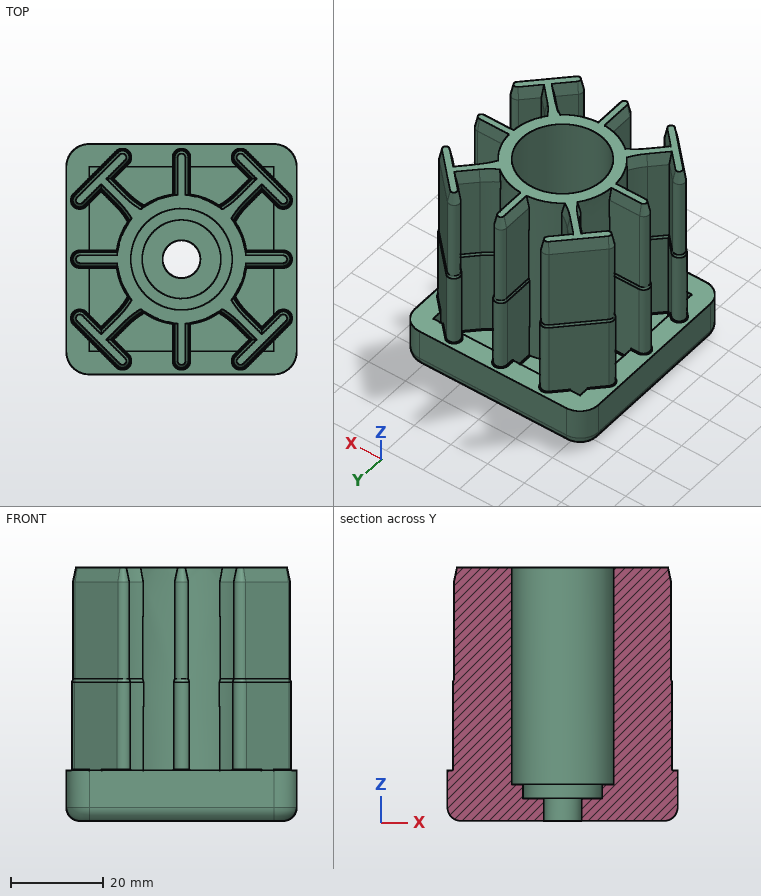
import cadquery as cq
import math

HEIGHT = 55
PLATE_SIDE = 50.0
PLATE_THICKNESS = 11
PLATE_CORNER_RADIUS = 5.0
PLATE_BOTTOM_FILLET = 3.0

POCKET_SIDE = 40.0
POCKET_DEPTH = 3.0
POCKET_FLOOR = PLATE_THICKNESS - POCKET_DEPTH

TUBE_TOP_RADIUS = 13.95
TUBE_FOOT_RADIUS = 14.2
BORE_RADIUS = 11
STEP_RADIUS = 8.5
STEP_FLOOR = 4.95
THROUGH_RADIUS = 4.05

FIN_THICKNESS = 3.4
FIN_REACH = 23.75
FIN_ROOT = 13.2
SHOULDER_START = 30.15
SHOULDER_END = 30.8
SHOULDER_INSET = 0.2
TIP_START = 51.85
TIP_INSET = 0.9
FOOT_FLARE = 0.2

BAR_DISTANCE = 24.65
WEB_ROOT = 12.1
WEB_FLARE_START = 18.3
WEB_FLARE_RADIUS = 17.05

fin_radius = FIN_THICKNESS / 2
cap_reach = FIN_REACH - fin_radius
bar_half_span = math.sqrt(2) * cap_reach - BAR_DISTANCE


def straight_fin(growth):
    """Round-ended outline reaching out along +X, grown by `growth` on every side."""
    span = cap_reach - FIN_ROOT
    width = FIN_THICKNESS + 2 * growth
    return cq.Workplane().center((cap_reach + FIN_ROOT) / 2, 0).slot2D(span + width, width)


def crossbar(growth):
    """Round-ended outline lying across the +X axis."""
    width = FIN_THICKNESS + 2 * growth
    return cq.Workplane().center(BAR_DISTANCE, 0).slot2D(2 * bar_half_span + width, width, 90)


def web(growth):
    """Outline from the tube wall to the crossbar, flaring in an arc towards the tube."""
    half = fin_radius + growth
    radius = WEB_FLARE_RADIUS - growth

    def flare(x):
        return half + radius - math.sqrt(radius**2 - (WEB_FLARE_START - x) ** 2)

    middle = (WEB_ROOT + WEB_FLARE_START) / 2
    return (
        cq.Workplane()
        .moveTo(BAR_DISTANCE, -half)
        .lineTo(BAR_DISTANCE, half)
        .lineTo(WEB_FLARE_START, half)
        .threePointArc((middle, flare(middle)), (WEB_ROOT, flare(WEB_ROOT)))
        .lineTo(WEB_ROOT, -flare(WEB_ROOT))
        .threePointArc((middle, -flare(middle)), (WEB_FLARE_START, -half))
        .close()
    )


def stage(outline, bottom, top, bottom_growth, top_growth):
    """Solid between two heights whose sides lean from one growth to the other."""
    height = top - bottom
    lean = math.degrees(math.atan2(bottom_growth - top_growth, height))
    return outline(bottom_growth).extrude(height, taper=lean).translate((0, 0, bottom))


def fin_body(outline):
    lower = stage(outline, POCKET_FLOOR, SHOULDER_START, 0, 0)
    shoulder = stage(outline, SHOULDER_START, SHOULDER_END, 0, -SHOULDER_INSET)
    upper = stage(outline, SHOULDER_END, TIP_START, -SHOULDER_INSET, -SHOULDER_INSET)
    tip = stage(outline, TIP_START, HEIGHT, -SHOULDER_INSET, -TIP_INSET)
    return lower.union(shoulder).union(upper).union(tip)


def fin_foot(outline, floor):
    return stage(outline, floor, floor + FOOT_FLARE, FOOT_FLARE, 0)


def pocket_block(height):
    return (
        cq.Workplane()
        .workplane(offset=POCKET_FLOOR)
        .rect(POCKET_SIDE, POCKET_SIDE)
        .extrude(height)
    )


def turned(solid, angle):
    return solid.rotate((0, 0, 0), (0, 0, 1), angle)


def fin(outline):
    """Full-height fin with its foot on the pocket floor."""
    return fin_body(outline).union(fin_foot(outline, POCKET_FLOOR))


def rim_foot(outline, angle):
    """Foot turned to `angle` on the plate rim, stopping at the edge of the pocket."""
    return turned(fin_foot(outline, PLATE_THICKNESS), angle).cut(pocket_block(HEIGHT))


def base_plate():
    plate = cq.Workplane().rect(PLATE_SIDE, PLATE_SIDE).extrude(PLATE_THICKNESS)
    plate = plate.edges("|Z").fillet(PLATE_CORNER_RADIUS)
    plate = plate.faces("<Z").edges().fillet(PLATE_BOTTOM_FILLET)
    return plate.cut(pocket_block(POCKET_DEPTH))


def tube():
    height = HEIGHT - POCKET_FLOOR
    draft = math.degrees(math.atan2(TUBE_FOOT_RADIUS - TUBE_TOP_RADIUS, height))
    return (
        cq.Workplane()
        .workplane(offset=POCKET_FLOOR)
        .circle(TUBE_FOOT_RADIUS)
        .extrude(height, taper=draft)
    )


def round_hole(radius, floor):
    return cq.Workplane().workplane(offset=floor).circle(radius).extrude(HEIGHT - floor)


side_fin = fin(straight_fin).union(rim_foot(straight_fin, 0))
corner_fin = turned(fin(crossbar).union(fin(web)), 45).union(rim_foot(crossbar, 45))

result = base_plate().union(tube())
for quarter in range(4):
    angle = 90 * quarter
    result = result.union(turned(side_fin, angle))
    result = result.union(turned(corner_fin, angle))

result = result.cut(round_hole(BORE_RADIUS, POCKET_FLOOR))
result = result.cut(round_hole(STEP_RADIUS, STEP_FLOOR))
result = result.cut(round_hole(THROUGH_RADIUS, 0))